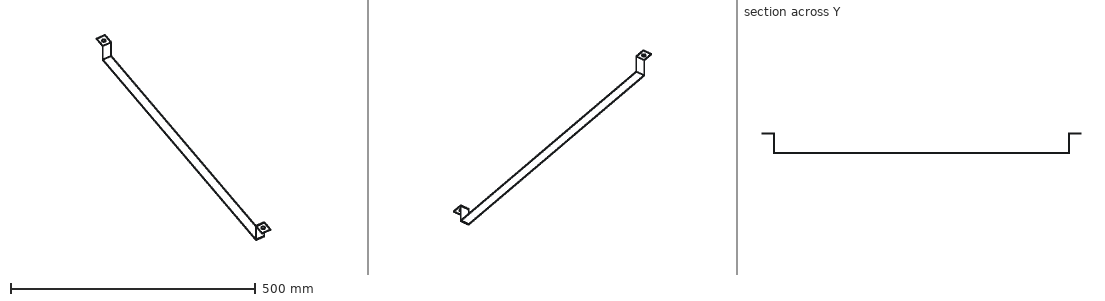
import cadquery as cq

length = 652.0
width = 20.0
height = 41.0
thickness = 1.0

foot_length = 25.0
hole_diameter = 7.0
hole_end_distance = 12.5

half_length = length / 2
wall_inner_x = half_length - foot_length
wall_outer_x = wall_inner_x + thickness

half_profile = [
    (0, 0),
    (wall_outer_x, 0),
    (wall_outer_x, height - thickness),
    (half_length, height - thickness),
    (half_length, height),
    (wall_inner_x, height),
    (wall_inner_x, thickness),
    (0, thickness),
]
strap = (
    cq.Workplane("XZ")
    .polyline(half_profile)
    .mirrorY()
    .extrude(width / 2, both=True)
)

hole_x = half_length - hole_end_distance
holes = (
    cq.Workplane("XY", origin=(0, 0, height - 2 * thickness))
    .pushPoints([(-hole_x, 0), (hole_x, 0)])
    .circle(hole_diameter / 2)
    .extrude(3 * thickness)
)

result = strap.cut(holes)